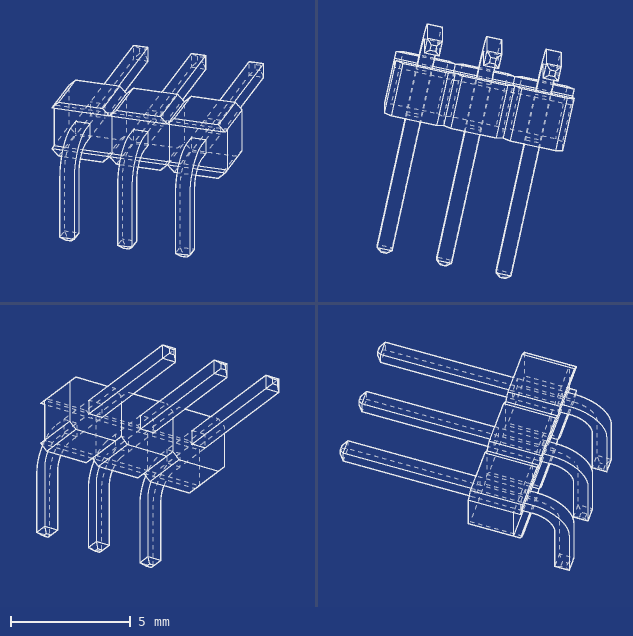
import cadquery as cq

pin_count = 3
pitch = 2.54

pin_width = 0.64
tip_chamfer = 0.2
bend_inner_radius = 0.95
bend_outer_radius = bend_inner_radius + pin_width
tail_length = 6.0
pin_length_y = 10.13
leg_drop = 3.025

housing_height = 2.485
flange_depth = 2.29
recess_depth = 0.3
flange_thickness = 0.3

housing_top = housing_height / 2
core_depth = flange_depth - recess_depth
core_height = housing_height - 2 * flange_thickness
pin_top = pin_width / 2
tail_tip_y = tail_length
leg_front_y = tail_tip_y - pin_length_y
leg_back_y = leg_front_y + pin_width
bend_start_y = leg_front_y + bend_outer_radius
bend_end_z = pin_top - bend_outer_radius
leg_tip_z = -housing_top - leg_drop

pin_positions = [(i - (pin_count - 1) / 2) * pitch for i in range(pin_count)]


def make_housing(x):
    """Bevelled block with a shallow front recess and a square hole for the pin."""
    block = (
        cq.Workplane("XY")
        .box(pitch, flange_depth, housing_height)
        .translate((x, -flange_depth / 2, 0))
        .edges("|Y")
        .chamfer(flange_thickness)
    )
    recess = (
        cq.Workplane("XY")
        .box(pitch, recess_depth, core_height)
        .translate((x, -core_depth - recess_depth / 2, 0))
    )
    pin_hole = (
        cq.Workplane("XY")
        .box(pin_width, flange_depth, pin_width)
        .translate((x, -flange_depth / 2, 0))
    )
    return block.cut(recess).cut(pin_hole)


def make_pin(x):
    """Right-angle square pin with tapered tips."""
    return (
        cq.Workplane("YZ", origin=(x, 0, 0))
        .moveTo(tail_tip_y, pin_top)
        .lineTo(bend_start_y, pin_top)
        .radiusArc((leg_front_y, bend_end_z), -bend_outer_radius)
        .lineTo(leg_front_y, leg_tip_z)
        .lineTo(leg_back_y, leg_tip_z)
        .lineTo(leg_back_y, bend_end_z)
        .radiusArc((bend_start_y, -pin_top), bend_inner_radius)
        .lineTo(tail_tip_y, -pin_top)
        .close()
        .extrude(pin_width / 2, both=True)
        .faces(">Y or <Z")
        .chamfer(tip_chamfer)
    )


housings = [make_housing(x) for x in pin_positions]
pins = [make_pin(x) for x in pin_positions]

result = cq.Compound.makeCompound([body.val() for body in housings + pins])